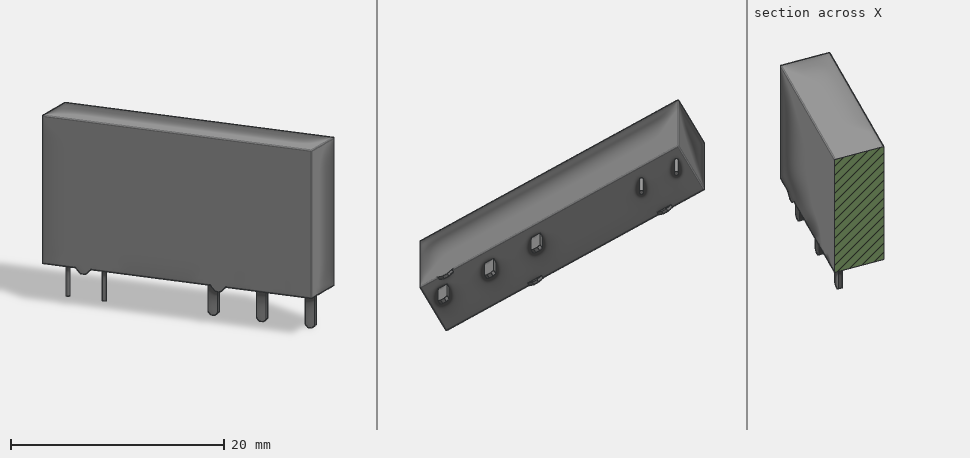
import cadquery as cq

case_length = 28.0
case_width = 5.0
case_height = 14.5
case_edge_radius = 0.1

terminal_length = 4.0
terminal_row_inset = 1.2
terminal_row_y = case_width / 2 - terminal_row_inset

first_pin_inset = 0.9
coil_pin_pitch = 3.78
coil_pin_count = 2
coil_pin_diameter = 0.4
first_pin_x = -case_length / 2 + first_pin_inset

first_blade_offset = 15.12
blade_pitch = 5.04
blade_count = 3
blade_width = 1.0
blade_thickness = 0.4
blade_tip_chamfer = 0.3

foot_height = 0.5
foot_thickness = 0.3
foot_tip_width = 0.5
foot_embed = case_edge_radius
foot_base_width = foot_tip_width + 2 * (foot_height + foot_embed)
first_foot_inset = 4.25
foot_spacing = 7.0
first_foot_x = -case_length / 2 + first_foot_inset
front_foot_steps = (0, 2)
back_foot_steps = (3,)


def make_case():
    box = cq.Workplane("XY").box(case_length, case_width, case_height, centered=(True, True, False))
    return box.edges().fillet(case_edge_radius)


def make_coil_pin(x):
    return (
        cq.Workplane("XY")
        .center(x, terminal_row_y)
        .circle(coil_pin_diameter / 2)
        .extrude(-terminal_length)
    )


def make_contact_blade(x):
    blade = (
        cq.Workplane("XY")
        .center(x, terminal_row_y)
        .rect(blade_width, blade_thickness)
        .extrude(-terminal_length)
    )
    return blade.faces("<Z").edges("|Y").chamfer(blade_tip_chamfer)


def make_foot(x, y_min):
    """Tapered tab centred on x, filling y_min to y_min + foot_thickness."""
    half_base = foot_base_width / 2
    half_tip = foot_tip_width / 2
    outline = [
        (x - half_base, foot_embed),
        (x - half_tip, -foot_height),
        (x + half_tip, -foot_height),
        (x + half_base, foot_embed),
    ]
    tab = cq.Workplane("XZ", origin=(0, y_min, 0)).polyline(outline).close()
    return tab.extrude(-foot_thickness)


result = make_case()

for index in range(coil_pin_count):
    result = result.union(make_coil_pin(first_pin_x + index * coil_pin_pitch))

for index in range(blade_count):
    blade_x = first_pin_x + first_blade_offset + index * blade_pitch
    result = result.union(make_contact_blade(blade_x))

for step in front_foot_steps:
    result = result.union(make_foot(first_foot_x + step * foot_spacing, -case_width / 2))

for step in back_foot_steps:
    result = result.union(make_foot(first_foot_x + step * foot_spacing, case_width / 2 - foot_thickness))